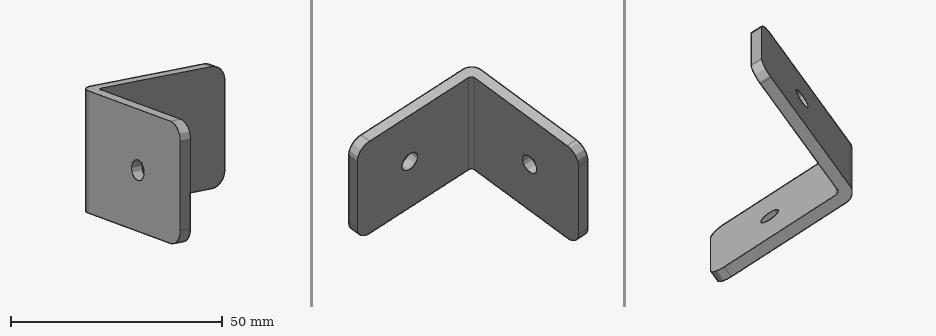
import cadquery as cq

leg_length = 40.0
height = 30.0
thickness = 3.0
outer_bend_radius = 3.0
inner_bend_radius = 1.0
corner_radius = 4.0
hole_diameter = 5.0
hole_offset = 23.0


def make_leg():
    """Flat plate along X with rounded free corners and a through hole."""
    plate = cq.Workplane("XY").box(leg_length, thickness, height, centered=False)
    plate = plate.edges("|Y and >X").fillet(corner_radius)
    hole = (
        cq.Workplane("XZ")
        .center(hole_offset, height / 2)
        .circle(hole_diameter / 2)
        .extrude(-thickness)
    )
    return plate.cut(hole)


leg_x = make_leg()
leg_y = leg_x.rotate((0, 0, 0), (1, 1, 0), 180).translate((0, 0, height))
bracket = leg_x.union(leg_y)

outer_bend_edge = cq.selectors.NearestToPointSelector((0, 0, height / 2))
inner_bend_edge = cq.selectors.NearestToPointSelector((thickness, thickness, height / 2))
bracket = bracket.edges(outer_bend_edge).fillet(outer_bend_radius)
result = bracket.edges(inner_bend_edge).fillet(inner_bend_radius)